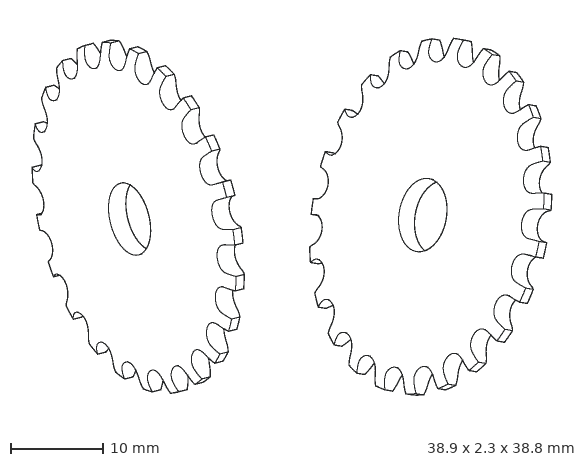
import cadquery as cq
import math

TOOTH_COUNT = 23
TIP_RADIUS = 19.45
THICKNESS = 2.3
BORE_DIAMETER = 8.0
CHAIN_PITCH = 5.0
SEAT_RADIUS = 1.65
SIDE_FACE_RADIUS = 17.07
SIDE_ROUNDING_RADIUS = 5.0

HALF_THICKNESS = THICKNESS / 2
HALF_STEP = math.pi / TOOTH_COUNT
PITCH_RADIUS = CHAIN_PITCH / (2 * math.sin(HALF_STEP))
GAP_OVERRUN = 0.78


def rounding_offset(radius):
    """Distance by which the rounded tooth side lies inside the flat face at a radius."""
    rise = radius - SIDE_FACE_RADIUS
    return SIDE_ROUNDING_RADIUS - math.sqrt(SIDE_ROUNDING_RADIUS**2 - rise**2)


def make_blank():
    """Disc turned about Y, its rim narrowed by arcs tangent to both flat faces."""
    middle_radius = (SIDE_FACE_RADIUS + TIP_RADIUS) / 2
    middle_half_width = HALF_THICKNESS - rounding_offset(middle_radius)
    tip_half_width = HALF_THICKNESS - rounding_offset(TIP_RADIUS)
    bore_radius = BORE_DIAMETER / 2
    return (
        cq.Workplane("YZ")
        .moveTo(-HALF_THICKNESS, bore_radius)
        .lineTo(-HALF_THICKNESS, SIDE_FACE_RADIUS)
        .threePointArc((-middle_half_width, middle_radius), (-tip_half_width, TIP_RADIUS))
        .lineTo(tip_half_width, TIP_RADIUS)
        .threePointArc((middle_half_width, middle_radius), (HALF_THICKNESS, SIDE_FACE_RADIUS))
        .lineTo(HALF_THICKNESS, bore_radius)
        .close()
        .revolve(360, (0, 0, 0), (1, 0, 0))
    )


def make_gap():
    """Cutter for one tooth gap centred on +Z: a seat arc with straight tangent flanks.

    Each flank is parallel to the centreline of the tooth beside it.
    """
    tangent_x = SEAT_RADIUS * math.cos(HALF_STEP)
    tangent_z = PITCH_RADIUS - SEAT_RADIUS * math.sin(HALF_STEP)
    outer_z = TIP_RADIUS + GAP_OVERRUN
    outer_x = tangent_x + (outer_z - tangent_z) * math.tan(HALF_STEP)
    return (
        cq.Workplane("XZ")
        .moveTo(-outer_x, outer_z)
        .lineTo(-tangent_x, tangent_z)
        .threePointArc((0, PITCH_RADIUS - SEAT_RADIUS), (tangent_x, tangent_z))
        .lineTo(outer_x, outer_z)
        .close()
        .extrude(HALF_THICKNESS, both=True)
    )


result = make_blank()

step_angle = 360 / TOOTH_COUNT
gap = make_gap()
for index in range(TOOTH_COUNT):
    gap_angle = (index + 0.5) * step_angle
    result = result.cut(gap.rotate((0, 0, 0), (0, 1, 0), gap_angle))